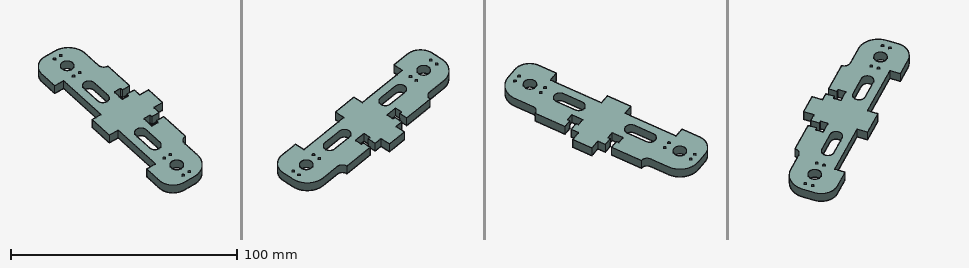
import cadquery as cq

length = 99.0
thickness = 5.0
top_tab_y = 31.0
shelf_y = 26.0
shoulder_y = 23.0

half_length = length / 2
top_tab_half_width = 5.0
shelf_half_length = 27.7
foot_half_width = 6.15
relief_outer_x = 32.7
relief_depth = 5.0
upper_corner_radius = 9.5
lower_corner_radius = 7.75
shoulder_radius = 2.9

t_slot_x = 10.5
t_neck_width = 3.2
t_head_width = 5.7
t_head_height = 3.6
t_slot_depth = 7.75

row_y = 12.0
round_hole_x = 39.0
round_hole_diameter = 6.0
pin_hole_diameter = 1.2
pin_spacing_x = 13.5
pin_spacing_y = 3.5
oval_x = 18.5
oval_length = 15.5
oval_width = 5.7


def block(x_min, x_max, y_min, y_max):
    """Full-thickness rectangular block between the given limits."""
    width = x_max - x_min
    depth = y_max - y_min
    return cq.Workplane("XY").box(width, depth, thickness, centered=False).translate((x_min, y_min, 0))


def make_body():
    """Long plate with rounded ends, raised shelf and a central top tab."""
    plate = block(-half_length, half_length, 0, shoulder_y)
    plate = plate.edges("|Z and >Y").fillet(upper_corner_radius)
    plate = plate.edges("|Z and <Y").fillet(lower_corner_radius)
    shelf = block(-shelf_half_length, shelf_half_length, row_y, shelf_y)
    body = plate.union(shelf)
    for side in (-1, 1):
        inner_corner = cq.selectors.NearestToPointSelector(
            (side * shelf_half_length, shoulder_y, thickness / 2)
        )
        body = body.edges("|Z").edges(inner_corner).fillet(shoulder_radius)
    top_tab = block(-top_tab_half_width, top_tab_half_width, row_y, top_tab_y)
    return body.union(top_tab)


def lower_relief(side):
    """Rectangular recess in the lower edge, between the end and the central foot."""
    x_limits = sorted((side * foot_half_width, side * relief_outer_x))
    return block(*x_limits, 0, relief_depth)


def t_slot(side):
    """Narrow neck open to the shelf edge, ending in a wider rectangular head."""
    center_x = side * t_slot_x
    floor_y = shelf_y - t_slot_depth
    neck = block(center_x - t_neck_width / 2, center_x + t_neck_width / 2, floor_y, shelf_y)
    head = block(
        center_x - t_head_width / 2,
        center_x + t_head_width / 2,
        floor_y,
        floor_y + t_head_height,
    )
    return neck.union(head)


def row_openings(side):
    """Oval window, round hole and the four pin holes around it."""
    oval = cq.Workplane("XY").center(side * oval_x, row_y).slot2D(oval_length, oval_width).extrude(thickness)
    hole_plane = cq.Workplane("XY").center(side * round_hole_x, row_y)
    round_hole = hole_plane.circle(round_hole_diameter / 2).extrude(thickness)
    pin_holes = (
        hole_plane.rarray(pin_spacing_x, pin_spacing_y, 2, 2)
        .circle(pin_hole_diameter / 2)
        .extrude(thickness)
    )
    return oval.union(round_hole).union(pin_holes)


result = make_body()
for side in (-1, 1):
    result = result.cut(lower_relief(side))
    result = result.cut(t_slot(side))
    result = result.cut(row_openings(side))